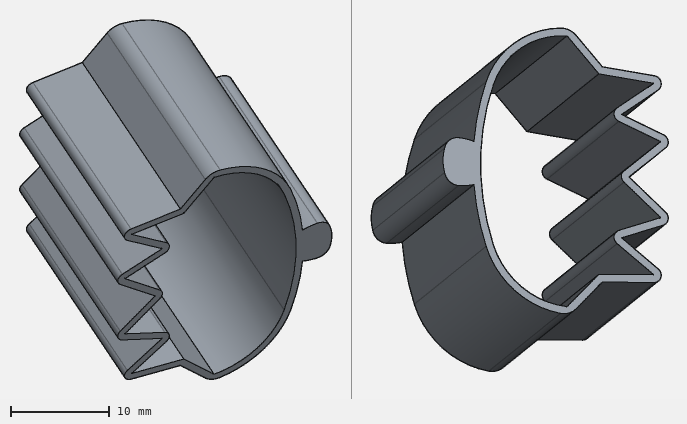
import cadquery as cq
import math

length = 23.0
wall = 0.8

back_radius = 27.55
shoulder_radius = 9.3
shoulder_center_z = 5.72
shoulder_end_y = -9.2
crest_radius = 2.0

notch = (-12.58, 10.52)
outer_tip = (-18.43, 10.05)
outer_valley = (-15.0, 6.47)
inner_tip = (-19.17, 3.98)
middle_valley = (-15.8, 0.0)

rib_end_y = 4.0
rib_half_height = 2.52
rib_corner_radius = 1.5
rib_corner_center_y = 2.37
rib_corner_angle = 80
rib_side_mid = (1.65, 2.45)
rib_root = (0.3, 2.13)


def polar(center, radius, angle):
    return (center[0] + radius * math.cos(angle), center[1] + radius * math.sin(angle))


def direction(start, end):
    return math.atan2(end[1] - start[1], end[0] - start[0])


def mirrored(point):
    return (point[0], -point[1])


def bend_arc(center, before, after):
    """Start, middle and end of the rounded side of a bend whose sharp side is at center.

    The runs leave the arc along tangents through the points before and after.
    """
    to_before = direction(center, before)
    to_after = direction(center, after)
    away = math.atan2(
        -math.sin(to_before) - math.sin(to_after),
        -math.cos(to_before) - math.cos(to_after),
    )

    def tangent_point(target):
        spread = math.acos(wall / math.dist(center, target))
        toward = direction(center, target)
        side = math.copysign(1, math.sin(away - toward))
        return polar(center, wall, toward + side * spread)

    return tangent_point(before), polar(center, wall, away), tangent_point(after)


def symmetric_prism(start, steps):
    """Extrude the closed outline made of an upper half path and its mirror image.

    The path runs from start on Z = 0 back to Z = 0. Each step is a line (end,) or
    an arc (middle, end).
    """
    outline = cq.Workplane("YZ").moveTo(*start)
    corners = [start] + [step[-1] for step in steps]
    lower_steps = []
    for corner, step in zip(corners, steps):
        lower_steps.insert(0, tuple(map(mirrored, step[:-1] + (corner,))))
    for step in steps + lower_steps:
        if len(step) == 1:
            outline = outline.lineTo(*step[0])
        else:
            outline = outline.threePointArc(*step)
    return outline.close().extrude(length)


back_center = (wall - back_radius, 0)
blend_angle = math.asin(shoulder_center_z / (back_radius - shoulder_radius))
shoulder_center = polar(back_center, back_radius - shoulder_radius, blend_angle)


def outer_body():
    shoulder_end = inner_shoulder_end()
    slope = direction(shoulder_end, notch)
    slope_normal = slope + 1.5 * math.pi
    pleat_normal = direction(notch, outer_tip) + 1.5 * math.pi
    half_turn = (slope_normal - pleat_normal) / 2
    outer_notch = polar(notch, wall / math.cos(half_turn), pleat_normal + half_turn)

    track_start = polar(shoulder_end, wall - crest_radius, slope_normal)
    offset_y = track_start[0] - shoulder_center[0]
    offset_z = track_start[1] - shoulder_center[1]
    along = offset_y * math.cos(slope) + offset_z * math.sin(slope)
    reach = shoulder_radius - crest_radius
    half_chord = math.sqrt(along**2 - offset_y**2 - offset_z**2 + reach**2)
    crest_center = polar(track_start, -along - half_chord, slope)
    crest_angle = direction(shoulder_center, crest_center)

    tip_start, tip_middle, tip_end = bend_arc(outer_tip, outer_notch, outer_valley)
    inner_start, inner_middle, inner_end = bend_arc(inner_tip, outer_valley, middle_valley)
    return symmetric_prism(
        (wall, 0),
        [
            (
                polar(back_center, back_radius, blend_angle / 2),
                polar(back_center, back_radius, blend_angle),
            ),
            (
                polar(shoulder_center, shoulder_radius, (blend_angle + crest_angle) / 2),
                polar(shoulder_center, shoulder_radius, crest_angle),
            ),
            (
                polar(crest_center, crest_radius, (crest_angle + slope_normal) / 2),
                polar(crest_center, crest_radius, slope_normal),
            ),
            (outer_notch,),
            (tip_start,),
            (tip_middle, tip_end),
            (outer_valley,),
            (inner_start,),
            (inner_middle, inner_end),
            (middle_valley,),
        ],
    )


def inner_shoulder_end():
    radius = shoulder_radius - wall
    return polar(shoulder_center, radius, math.acos((shoulder_end_y - shoulder_center[0]) / radius))


def cavity():
    back_inner = back_radius - wall
    shoulder_inner = shoulder_radius - wall
    shoulder_end = inner_shoulder_end()
    end_angle = direction(shoulder_center, shoulder_end)
    valley_start, valley_middle, valley_end = bend_arc(outer_valley, outer_tip, inner_tip)
    middle_start = bend_arc(middle_valley, inner_tip, mirrored(inner_tip))[0]
    middle_angle = direction(middle_valley, middle_start)
    return symmetric_prism(
        (0, 0),
        [
            (
                polar(back_center, back_inner, blend_angle / 2),
                polar(back_center, back_inner, blend_angle),
            ),
            (
                polar(shoulder_center, shoulder_inner, (blend_angle + end_angle) / 2),
                shoulder_end,
            ),
            (notch,),
            (outer_tip,),
            (valley_start,),
            (valley_middle, valley_end),
            (inner_tip,),
            (middle_start,),
            (
                polar(middle_valley, wall, middle_angle / 2),
                polar(middle_valley, wall, 0),
            ),
        ],
    )


def rib():
    corner_center = (rib_corner_center_y, rib_half_height - rib_corner_radius)
    top = math.pi / 2
    corner_end_angle = top - math.radians(rib_corner_angle)
    corner_end = polar(corner_center, rib_corner_radius, corner_end_angle)
    corner_middle = polar(corner_center, rib_corner_radius, (top + corner_end_angle) / 2)
    bulge = rib_end_y - corner_end[0]
    end_radius = (bulge**2 + corner_end[1] ** 2) / (2 * bulge)
    end_center = (rib_end_y - end_radius, 0)
    end_middle = polar(end_center, end_radius, direction(end_center, corner_end) / 2)
    return symmetric_prism(
        (rib_end_y, 0),
        [
            (end_middle, corner_end),
            (corner_middle, polar(corner_center, rib_corner_radius, top)),
            (rib_side_mid, rib_root),
            ((rib_root[0], 0),),
        ],
    )


result = outer_body().union(rib()).cut(cavity())